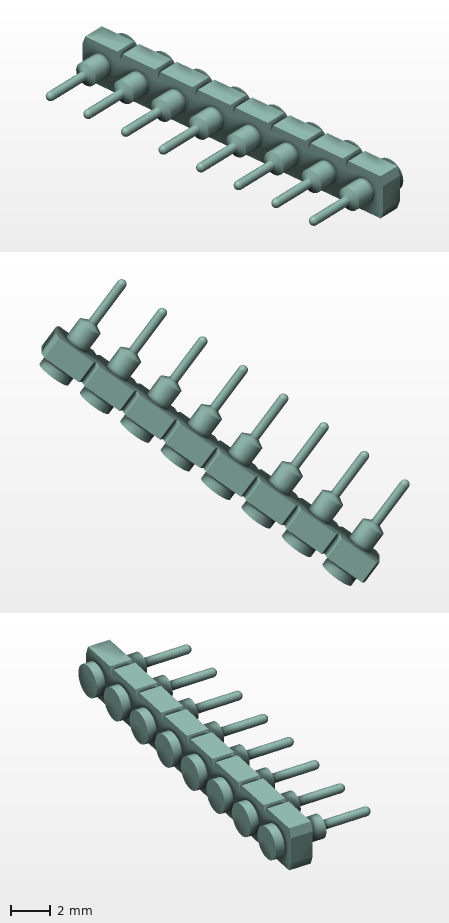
import cadquery as cq

pin_count = 8
pitch = 2.55

housing_height = pitch
housing_depth = 1.28
bevel_width = 0.18
bevel_height = 0.5

head_diameter = 1.83
barrel_diameter = 1.32
tail_diameter = 0.5

pin_length = 6.1
head_thickness = 0.5
neck_length = 0.16
barrel_length = 1.18
cone_length = 0.22

housing_front = -housing_depth
head_underside = neck_length
head_rear = head_underside + head_thickness
barrel_front = housing_front - barrel_length
cone_front = barrel_front - cone_length
pin_tip = head_rear - pin_length

row_length = pin_count * pitch
pin_positions = [(i + 0.5) * pitch - row_length / 2 for i in range(pin_count)]


def housing_cell(x_center):
    """Bevelled block that carries one pin; neighbouring bevels form the V notches."""
    half_width = pitch / 2
    half_height = housing_height / 2
    flat_half_width = half_width - bevel_width
    side_half_height = half_height - bevel_height
    outline = [
        (-half_width, -side_half_height),
        (-flat_half_width, -half_height),
        (flat_half_width, -half_height),
        (half_width, -side_half_height),
        (half_width, side_half_height),
        (flat_half_width, half_height),
        (-flat_half_width, half_height),
        (-half_width, side_half_height),
    ]
    return cq.Workplane("XZ").center(x_center, 0).polyline(outline).close().extrude(housing_depth)


def make_housing():
    """Row of joined cells with a through hole for each pin barrel."""
    housing = housing_cell(pin_positions[0])
    for x in pin_positions[1:]:
        housing = housing.union(housing_cell(x))
    holes = (
        cq.Workplane("XZ")
        .pushPoints([(x, 0) for x in pin_positions])
        .circle(barrel_diameter / 2)
        .extrude(housing_depth)
    )
    return housing.cut(holes).clean()


def make_pin(x_center):
    """Turned pin: head, barrel, cone shoulder and slim tail with a hemispherical tip."""
    head_radius = head_diameter / 2
    barrel_radius = barrel_diameter / 2
    tail_radius = tail_diameter / 2
    tip_start = pin_tip + tail_radius
    tip_diagonal = tail_radius * 0.5 ** 0.5
    profile = (
        cq.Workplane("XY")
        .moveTo(0, head_rear)
        .lineTo(head_radius, head_rear)
        .lineTo(head_radius, head_underside)
        .lineTo(barrel_radius, head_underside)
        .lineTo(barrel_radius, barrel_front)
        .lineTo(tail_radius, cone_front)
        .lineTo(tail_radius, tip_start)
        .threePointArc((tip_diagonal, tip_start - tip_diagonal), (0, pin_tip))
        .close()
    )
    return profile.revolve(360, (0, 0, 0), (0, 1, 0)).translate((x_center, 0, 0))


housing = make_housing()
pins = [make_pin(x) for x in pin_positions]

result = cq.Compound.makeCompound([housing.val(), *[pin.val() for pin in pins]])